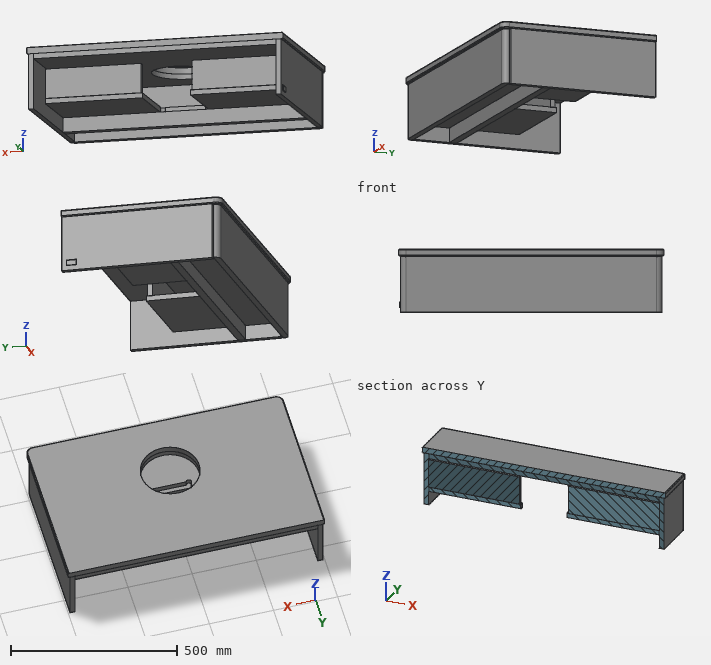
import cadquery as cq


slab_width = 800
slab_depth = 500.0
overall_height = 190.0
slab_thickness = 20.0
slab_corner_radius = 22.0
slab_edge_chamfer = 2.8

side_overhang = 6.0
front_overhang = 6.0
board = 16
front_thickness = 19.0
front_corner_diameter = 35.0
front_top_gap = 2.0
front_back_gap = 4.0

drain_hole_diameter = 180.0
drain_hole_y = -305.0

shelf_top_z = 61.0
shelf_back_y = -134.0
notch_width = 151.0
notch_front_y = -350.0
relief_diameter = 16
relief_inset = 6.0
relief_setback = 2.0

back_wall_setback = 2.0
back_wall_headroom = 2.0
back_wall_inset = 4.0

rail_back_y = -337.0
rail_thickness = 24

cap_width = 30.0
cap_height = 18.0
cap_projection = 2.8
cap_back_y = -16.0
cap_bottom_z = 15.0
cap_chamfer = 2.0

cabinet_width = slab_width - 2 * side_overhang
inner_width = cabinet_width - 2 * board
cabinet_height = overall_height - slab_thickness
front_face_y = front_overhang - slab_depth
front_inner_y = front_face_y + front_thickness
side_front_y = front_inner_y + front_back_gap
top_panel_bottom_z = cabinet_height - board
shelf_bottom_z = shelf_top_z - board


def box_between(x_min, x_max, y_min, y_max, z_min, z_max):
    """Block that fills the given X, Y and Z ranges."""
    size = (x_max - x_min, y_max - y_min, z_max - z_min)
    return cq.Workplane("XY").box(*size, centered=False).translate((x_min, y_min, z_min))


def cut_drain_hole(panel):
    """Cut the round drain opening through a horizontal panel."""
    cutter = (
        cq.Workplane("XY")
        .center(0, drain_hole_y)
        .circle(drain_hole_diameter / 2)
        .extrude(overall_height)
    )
    return panel.cut(cutter)


def make_slab():
    """Countertop: rounded front corners, edges broken all round but at the wall."""
    slab = box_between(-slab_width / 2, slab_width / 2, -slab_depth, 0, cabinet_height, overall_height)
    slab = slab.edges("|Z and <Y").fillet(slab_corner_radius)
    broken_edges = slab.faces("<Z or >Z").edges("not >Y")
    slab = broken_edges.chamfer(slab_edge_chamfer)
    return cut_drain_hole(slab)


def make_top_panel():
    """Board under the slab, between the side panels."""
    panel = box_between(
        -inner_width / 2, inner_width / 2, side_front_y, 0, top_panel_bottom_z, cabinet_height
    )
    return cut_drain_hole(panel)


def make_side_panel(side):
    """Upright side board; side is -1 for left, 1 for right."""
    centre_x = side * (cabinet_width - board) / 2
    return box_between(
        centre_x - board / 2, centre_x + board / 2, side_front_y, 0, 0, cabinet_height
    )


def make_drawer_front():
    """Front board with rounded outer vertical edges."""
    front = box_between(
        -cabinet_width / 2, cabinet_width / 2,
        front_face_y, front_inner_y,
        0, cabinet_height - front_top_gap,
    )
    return front.edges("|Z and <Y").fillet(front_corner_diameter / 2)


def make_shelf():
    """Drawer bottom with a notch for the drain, relieved at its front corners."""
    shelf = box_between(
        -inner_width / 2, inner_width / 2, front_inner_y, shelf_back_y, shelf_bottom_z, shelf_top_z
    )
    notch = box_between(
        -notch_width / 2, notch_width / 2, notch_front_y, shelf_back_y, shelf_bottom_z, shelf_top_z
    )
    relief_x = notch_width / 2 - relief_inset
    reliefs = (
        cq.Workplane("XY", origin=(0, notch_front_y + relief_setback, shelf_bottom_z))
        .pushPoints([(-relief_x, 0), (relief_x, 0)])
        .circle(relief_diameter / 2)
        .extrude(board)
    )
    return shelf.cut(notch).cut(reliefs)


def make_back_wall(side):
    """Drawer back board standing on the shelf, on one side of the notch."""
    inner_x = side * (notch_width / 2 + back_wall_inset)
    outer_x = side * inner_width / 2
    back_y = shelf_back_y - back_wall_setback
    return box_between(
        min(inner_x, outer_x), max(inner_x, outer_x),
        back_y - board, back_y,
        shelf_top_z, top_panel_bottom_z - back_wall_headroom,
    )


def make_rail():
    """Cross rail that fills the height under the shelf, between the side panels."""
    return box_between(
        -inner_width / 2, inner_width / 2,
        rail_back_y - rail_thickness, rail_back_y,
        0, shelf_bottom_z,
    )


def make_cap():
    """Small cover cap on the outside of the left side panel."""
    side_face_x = -cabinet_width / 2
    cap = box_between(
        side_face_x - cap_projection, side_face_x,
        cap_back_y - cap_width, cap_back_y,
        cap_bottom_z, cap_bottom_z + cap_height,
    )
    return cap.edges("<X and >Z").chamfer(cap_chamfer)


slab = make_slab()
top_panel = make_top_panel()
drawer_front = make_drawer_front()
shelf = make_shelf()
rail = make_rail()
cap = make_cap()
side_panels = [make_side_panel(side) for side in (-1, 1)]
back_walls = [make_back_wall(side) for side in (-1, 1)]

bodies = [slab, top_panel, drawer_front, shelf, rail, cap, *side_panels, *back_walls]
result = cq.Compound.makeCompound([body.val() for body in bodies])